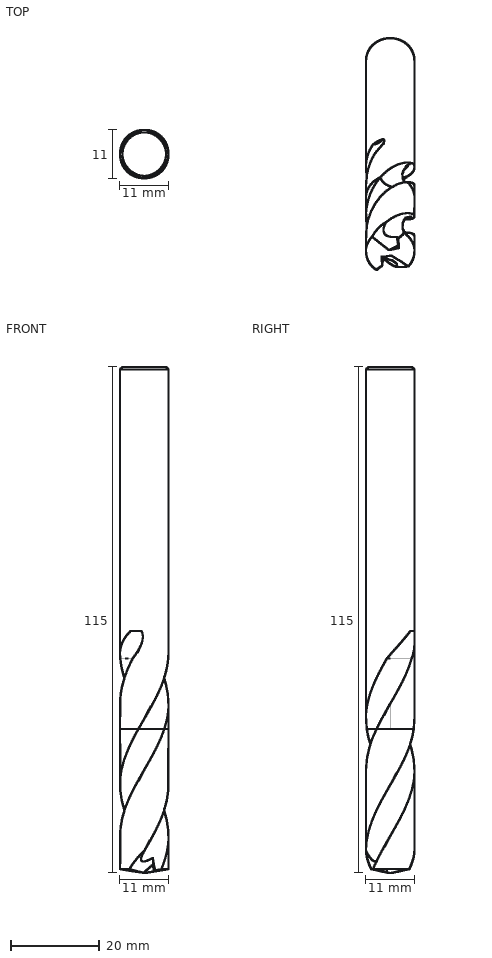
import cadquery as cq
import math

LENGTH = 115.0
DIAMETER = 11.0
RADIUS = DIAMETER / 2
END_CHAMFER = 0.6
POINT_HEIGHT = 0.9
SPLIT_Z = 32.8

FLUTE_COUNT = 2
HELIX_ANGLE = 30.0
PITCH = math.pi * DIAMETER / math.tan(math.radians(HELIX_ANGLE))
FLUTE_RADIUS = 3.7
FLUTE_OFFSET = 6.4
POINT_PHASE = 94.5
RUNOUT_START_Z = 48.8
RUNOUT_END_Z = 55.0
RUNOUT_DRIFT = 6.0

GASH_PEAK_X = 2.0
GASH_PEAK_Z = 2.0
GASH_LEFT_X = -3.7
GASH_RIGHT_X = 2.6
GASH_FOOT_Z = -3.0
GASH_START = 0.7
GASH_BASE_Z = -DIAMETER

AXIS_POINT = cq.Vector(0, 0, 0)


def turn_about_axis(shape, angle):
    return shape.rotate(AXIS_POINT, cq.Vector(0, 0, 1), angle)


def flute_circle(angle, z):
    direction = math.radians(angle)
    center = cq.Vector(FLUTE_OFFSET * math.cos(direction), FLUTE_OFFSET * math.sin(direction), z)
    return cq.Wire.makeCircle(FLUTE_RADIUS, center, cq.Vector(0, 0, 1))


def helical_flute(phase, bottom_z, top_z):
    """Flute stretch between two heights, twisting about the drill axis."""
    start_angle = phase + 360 * bottom_z / PITCH
    height = top_z - bottom_z
    return cq.Solid.extrudeLinearWithRotation(
        flute_circle(start_angle, bottom_z),
        [],
        cq.Vector(0, 0, bottom_z),
        cq.Vector(0, 0, height),
        360 * height / PITCH,
    )


def flute_runout(phase):
    """Straight upper end of a flute, square to the radius where the helix ends."""
    angle = phase + 360 * RUNOUT_START_Z / PITCH
    direction = math.radians(angle)
    rise = RUNOUT_END_Z - RUNOUT_START_Z
    travel = cq.Vector(-RUNOUT_DRIFT * math.sin(direction), RUNOUT_DRIFT * math.cos(direction), rise)
    return cq.Solid.extrudeLinear(flute_circle(angle, RUNOUT_START_Z), [], travel)


def point_gash(phase):
    """Peaked cut that starts beside the axis and climbs outward at 45 degrees into the flute."""
    corners = [
        (GASH_LEFT_X, GASH_BASE_Z),
        (GASH_LEFT_X, GASH_FOOT_Z),
        (GASH_PEAK_X, GASH_PEAK_Z),
        (GASH_RIGHT_X, GASH_FOOT_Z),
        (GASH_RIGHT_X, GASH_BASE_Z),
    ]
    section = cq.Wire.makePolygon([cq.Vector(x, -GASH_START, z) for x, z in corners], close=True)
    gash = cq.Solid.extrudeLinear(section, [], cq.Vector(0, -RADIUS, RADIUS))
    return turn_about_axis(gash, phase - POINT_PHASE)


def make_shank(phases):
    shank = (
        cq.Workplane("XY", origin=(0, 0, SPLIT_Z))
        .circle(RADIUS)
        .extrude(LENGTH - SPLIT_Z)
        .faces(">Z")
        .chamfer(END_CHAMFER)
    )
    for phase in phases:
        shank = shank.cut(cq.Workplane(helical_flute(phase, SPLIT_Z, RUNOUT_START_Z)))
        shank = shank.cut(cq.Workplane(flute_runout(phase)))
    return shank


def make_cutting_head(phases):
    head = (
        cq.Workplane("XZ")
        .lineTo(RADIUS, POINT_HEIGHT)
        .lineTo(RADIUS, SPLIT_Z)
        .lineTo(0, SPLIT_Z)
        .close()
        .revolve(360, (0, 0, 0), (0, 1, 0))
    )
    for phase in phases:
        head = head.cut(cq.Workplane(helical_flute(phase, 0, SPLIT_Z)))
        head = head.cut(cq.Workplane(point_gash(phase)))
    return head


flute_phases = [POINT_PHASE + 360 / FLUTE_COUNT * i for i in range(FLUTE_COUNT)]
shank = make_shank(flute_phases)
cutting_head = make_cutting_head(flute_phases)

result = cq.Compound.makeCompound([shank.val(), cutting_head.val()])